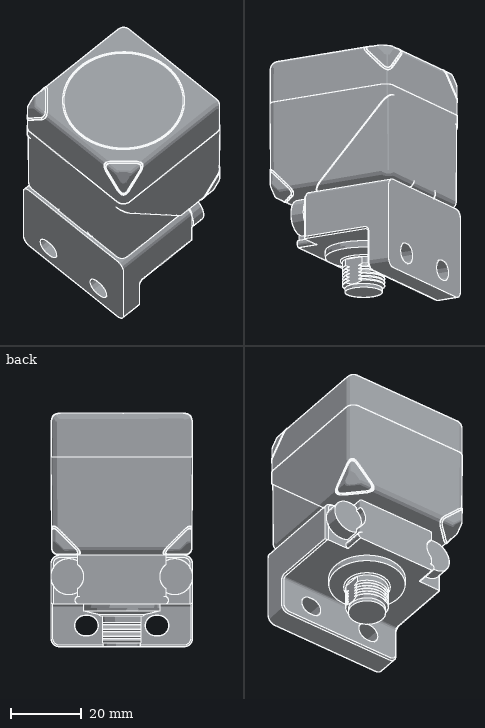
import cadquery as cq
import math

FULL_WIDTH = 40.15
HALF = FULL_WIDTH / 2
TOTAL_HEIGHT = 66.26
BRACKET_TOP = 26.0

HEAD_WIDTH = 40.0
PARTING_Z = 53.8
BASE_DRAFT = 0.4
HEAD_FILLET = 2.5
WEDGE_INSET = 0.4
WEDGE_FOOT_Y = 4.9
RING_RADIUS = 17.3
RING_WIDTH = 0.4
RING_DEPTH = 0.2
SILL_TOP_WIDTH = 11.5
SILL_BOTTOM_WIDTH = 13.5
SILL_FILLET = 2.1

RELIEF_STEPS = ((9.6, 0.15), (8.9, 0.25))
RELIEF_FACE_FILLET = 1.85
FACET_REACH = 5.0
FACET_FILLET = 0.9

BLOCK_BOTTOM = 12.1
BLOCK_END_Y = 8.0
BLOCK_END_CHAMFER = 0.7
PLATE_THICKNESS = 7.0
PLATE_CORNER = 2.5
PLATE_BACK_CHAMFER = 0.5
INNER_FILLET = 1.0
SLOT_LENGTH = 6.6
SLOT_HEIGHT = 5.7
SLOT_SPACING = 20.0
SLOT_Z = 6.05

HOUSING_END_Y = 14.1
HOUSING_HALF_WIDTH = 12.5
HOUSING_EDGE_FILLET = 0.5
FLOOR_HALF_WIDTH = 13.2
FLOOR_TOP = 14.3
FLOOR_FILLET = 1.0
SCREW_RADIUS = 5.1
SCREW_X = HALF - SCREW_RADIUS
SCREW_Z = 19.9
SCREW_END_Y = 12.1
SCREW_ACCESS_RADIUS = 4.2

FLANGE_RADIUS = 10.9
FLANGE_RIM_Z = 10.9
RIM_LOWER_RADIUS = 10.8
RIM_LOWER_Z = 10.2
CONE_RADIUS = 6.6
CONE_Z = 9.2
NECK_TOP_Z = 8.8
THREAD_RADIUS = 6.05
THREAD_ROOT = 5.6
THREAD_PITCH = 1.0
THREAD_TURNS = 5
THREAD_TOP_Z = 6.9
TIP_SHOULDER_Z = 1.1
TIP_RADIUS = 5.3
FLAT_DISTANCE = 5.4


def span_box(x0, x1, y0, y1, z0, z1):
    """Box given by its limits on each axis."""
    return cq.Workplane("XY").box(x1 - x0, y1 - y0, z1 - z0, centered=False).translate((x0, y0, z0))


def head_blank(inset):
    """Sharp head block, shrunk by the inset on every side."""
    side = HEAD_WIDTH / 2 - inset
    return span_box(-side, side, -side, side, BRACKET_TOP + inset, TOTAL_HEIGHT - inset)


def beyond_corner(signs, reach):
    """Everything outside the plane that cuts the given head corner with legs of length reach."""
    size = 2 * reach
    middle = (BRACKET_TOP + TOTAL_HEIGHT) / 2
    half_height = (TOTAL_HEIGHT - BRACKET_TOP) / 2
    leg = reach / 3
    sx, sy, sz = signs
    origin = (
        sx * (HEAD_WIDTH / 2 - leg),
        sy * (HEAD_WIDTH / 2 - leg),
        middle + sz * (half_height - leg),
    )
    plane = cq.Plane(origin=origin, xDir=(sy, -sx, 0), normal=signs)
    return cq.Workplane(plane).rect(2 * size, 2 * size).extrude(size)


def slanted_zone():
    """Triangular prism below the 45 degree line on the head sides, open to the front."""
    front_y = -FULL_WIDTH
    return (
        cq.Workplane("YZ")
        .moveTo(WEDGE_FOOT_Y, BRACKET_TOP)
        .lineTo(front_y, BRACKET_TOP)
        .lineTo(front_y, BRACKET_TOP + WEDGE_FOOT_Y - front_y)
        .close()
        .extrude(FULL_WIDTH, both=True)
    )


def drafted_blank(inset):
    """Rounded base block with drafted sides and back, and an upright front face."""
    side = HALF - inset
    center_y = HALF - FULL_WIDTH
    blank = (
        cq.Workplane("XY", origin=(0, center_y, PARTING_Z))
        .rect(2 * side, 2 * FULL_WIDTH)
        .extrude(BRACKET_TOP - PARTING_Z, taper=BASE_DRAFT)
    )
    blank = blank.intersect(span_box(-HALF, HALF, -HALF, HALF, BRACKET_TOP, PARTING_Z))
    return blank.edges("not >Z").fillet(HEAD_FILLET)


def make_base():
    zone = slanted_zone()
    sides = drafted_blank(0).cut(zone)
    panels = drafted_blank(WEDGE_INSET).intersect(zone)
    return sides.union(panels).union(make_sill())


def make_sill():
    """Middle of the lower front edge, with a smaller rounding."""
    sill = span_box(-HALF / 2, HALF / 2, -HALF, 0, BRACKET_TOP, BRACKET_TOP + HEAD_FILLET)
    sill = sill.edges("<Y and <Z").fillet(SILL_FILLET)
    outline = (
        cq.Workplane("XZ")
        .moveTo(-SILL_BOTTOM_WIDTH / 2, BRACKET_TOP)
        .lineTo(SILL_BOTTOM_WIDTH / 2, BRACKET_TOP)
        .lineTo(SILL_TOP_WIDTH / 2, BRACKET_TOP + HEAD_FILLET)
        .lineTo(-SILL_TOP_WIDTH / 2, BRACKET_TOP + HEAD_FILLET)
        .close()
        .extrude(HALF)
    )
    return sill.intersect(outline)


def make_cap():
    cap = head_blank(0).edges("|Z or >Z").fillet(HEAD_FILLET)
    cap = cap.intersect(span_box(-HALF, HALF, -HALF, HALF, PARTING_Z, TOTAL_HEIGHT))
    ring = (
        cq.Workplane("XY", origin=(0, 0, TOTAL_HEIGHT))
        .circle(RING_RADIUS)
        .circle(RING_RADIUS - RING_WIDTH)
        .extrude(-RING_DEPTH)
    )
    return cap.cut(ring)


def relieve_corner(head, signs):
    """Step the corner back and finish it with a rounded three-way facet."""
    for reach, inset in RELIEF_STEPS:
        stepped = head_blank(inset).edges().fillet(RELIEF_FACE_FILLET - inset)
        stepped = stepped.cut(beyond_corner(signs, FACET_REACH))
        facet_direction = cq.selectors.DirectionMinMaxSelector(cq.Vector(*signs))
        stepped = stepped.faces(facet_direction).edges().fillet(FACET_FILLET)
        zone = beyond_corner(signs, reach)
        head = head.cut(zone).union(stepped.intersect(zone))
    return head


def make_head():
    head = make_base().union(make_cap())
    for sx in (-1, 1):
        head = relieve_corner(head, (sx, -1, 1))
        head = relieve_corner(head, (sx, 1, -1))
    return head


def make_bracket():
    plate_back = -HALF + PLATE_THICKNESS
    plate = span_box(-HALF, HALF, -HALF, BLOCK_END_Y, 0, BRACKET_TOP)
    plate = plate.edges("|Y").fillet(PLATE_CORNER)
    plate = plate.faces(">Y").edges().chamfer(BLOCK_END_CHAMFER)
    below = span_box(-HALF, HALF, plate_back, BLOCK_END_Y, 0, BLOCK_BOTTOM)
    below = below.edges("<Y and >Z").fillet(INNER_FILLET)
    plate = plate.cut(below)
    slots = (
        cq.Workplane("XZ", origin=(0, plate_back, SLOT_Z))
        .pushPoints([(-SLOT_SPACING / 2, 0), (SLOT_SPACING / 2, 0)])
        .slot2D(SLOT_LENGTH, SLOT_HEIGHT)
        .extrude(PLATE_THICKNESS)
    )
    back_edges = cq.selectors.BoxSelector(
        (-FULL_WIDTH, plate_back - INNER_FILLET / 2, -1),
        (FULL_WIDTH, plate_back + INNER_FILLET / 2, BLOCK_BOTTOM - INNER_FILLET / 2),
    )
    plate = plate.edges(back_edges).chamfer(PLATE_BACK_CHAMFER)
    return plate.cut(slots)


def y_cylinder(x, radius, y0, y1):
    """Cylinder along Y at the height of the clamp screws."""
    return cq.Workplane("XZ", origin=(x, y0, SCREW_Z)).circle(radius).extrude(y0 - y1)


def make_clamp():
    start_y = BLOCK_END_Y - BLOCK_END_CHAMFER
    housing = span_box(
        -HOUSING_HALF_WIDTH, HOUSING_HALF_WIDTH, start_y, HOUSING_END_Y, BLOCK_BOTTOM, BRACKET_TOP
    )
    housing = housing.edges(">Y and (|Z or <Z)").fillet(HOUSING_EDGE_FILLET)
    floor = span_box(
        -FLOOR_HALF_WIDTH, FLOOR_HALF_WIDTH, start_y, HOUSING_END_Y, BLOCK_BOTTOM, FLOOR_TOP
    )
    floor = floor.edges("|Y").fillet(FLOOR_FILLET)
    clamp = housing.union(floor)
    for x in (-SCREW_X, SCREW_X):
        clamp = clamp.cut(y_cylinder(x, SCREW_ACCESS_RADIUS, SCREW_END_Y, HOUSING_END_Y))
        clamp = clamp.union(y_cylinder(x, SCREW_RADIUS, BLOCK_END_Y, SCREW_END_Y))
    return clamp


def make_connector():
    profile = (
        cq.Workplane("XZ")
        .moveTo(0, BLOCK_BOTTOM)
        .lineTo(FLANGE_RADIUS, BLOCK_BOTTOM)
        .lineTo(FLANGE_RADIUS, FLANGE_RIM_Z)
        .lineTo(RIM_LOWER_RADIUS, RIM_LOWER_Z)
        .lineTo(CONE_RADIUS, CONE_Z)
        .lineTo(THREAD_RADIUS, NECK_TOP_Z)
        .lineTo(THREAD_RADIUS, THREAD_TOP_Z)
    )
    for turn in range(THREAD_TURNS):
        crest_z = THREAD_TOP_Z - turn * THREAD_PITCH
        profile = profile.lineTo(THREAD_ROOT, crest_z - THREAD_PITCH / 2)
        profile = profile.lineTo(THREAD_RADIUS, crest_z - THREAD_PITCH)
    connector = (
        profile.lineTo(TIP_RADIUS, TIP_SHOULDER_Z)
        .lineTo(TIP_RADIUS, 0)
        .lineTo(0, 0)
        .close()
        .revolve(360, (0, 0, 0), (0, 1, 0))
    )
    for outer in (-FLANGE_RADIUS, FLANGE_RADIUS):
        flat = math.copysign(FLAT_DISTANCE, outer)
        beside = span_box(
            min(flat, outer), max(flat, outer), -FLANGE_RADIUS, FLANGE_RADIUS, 0, NECK_TOP_Z
        )
        connector = connector.cut(beside)
    return connector


result = make_head().union(make_bracket()).union(make_clamp()).union(make_connector())